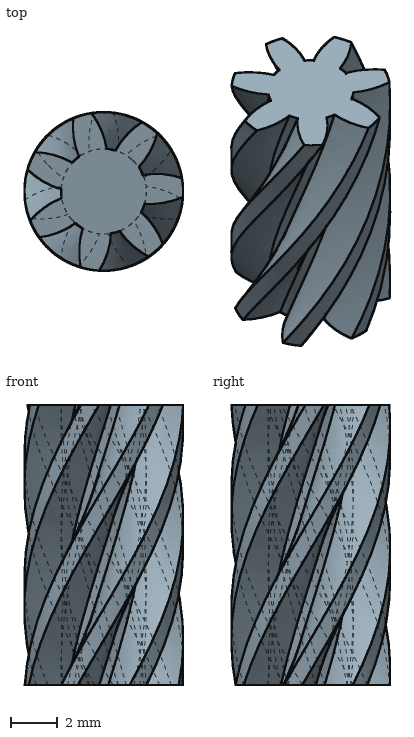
import cadquery as cq
import math

TEETH = 7
NORMAL_MODULE = 0.7
HELIX_ANGLE = math.radians(25)
FACE_WIDTH = 12.0
ADDENDUM_FACTOR = 1.0
DEDENDUM_FACTOR = 1.25

ROOT_HALF_ANGLE = math.radians(19.6)
TIP_HALF_ANGLE = math.radians(6.7)

pitch_radius = TEETH * NORMAL_MODULE / math.cos(HELIX_ANGLE) / 2
tip_radius = pitch_radius + ADDENDUM_FACTOR * NORMAL_MODULE
root_radius = pitch_radius - DEDENDUM_FACTOR * NORMAL_MODULE

tooth_pitch_angle = 2 * math.pi / TEETH
pitch_half_angle = tooth_pitch_angle / 4
bottom_tooth_angle = -pitch_half_angle

twist_angle = FACE_WIDTH * math.tan(HELIX_ANGLE) / pitch_radius


def polar(radius, angle):
    return radius * math.cos(angle), radius * math.sin(angle)


def add_tooth_and_gap(outline, center):
    """Continue the outline over one tooth and the root arc up to the next tooth."""
    next_center = center + tooth_pitch_angle
    return (
        outline
        .threePointArc(
            polar(pitch_radius, center - pitch_half_angle),
            polar(tip_radius, center - TIP_HALF_ANGLE),
        )
        .threePointArc(
            polar(tip_radius, center),
            polar(tip_radius, center + TIP_HALF_ANGLE),
        )
        .threePointArc(
            polar(pitch_radius, center + pitch_half_angle),
            polar(root_radius, center + ROOT_HALF_ANGLE),
        )
        .threePointArc(
            polar(root_radius, center + tooth_pitch_angle / 2),
            polar(root_radius, next_center - ROOT_HALF_ANGLE),
        )
    )


def gear_outline():
    """Closed cross-section of the pinion at its bottom face."""
    outline = cq.Workplane("XY").moveTo(*polar(root_radius, bottom_tooth_angle - ROOT_HALF_ANGLE))
    for tooth in range(TEETH):
        outline = add_tooth_and_gap(outline, bottom_tooth_angle + tooth * tooth_pitch_angle)
    return outline.close()


result = gear_outline().twistExtrude(FACE_WIDTH, math.degrees(twist_angle))